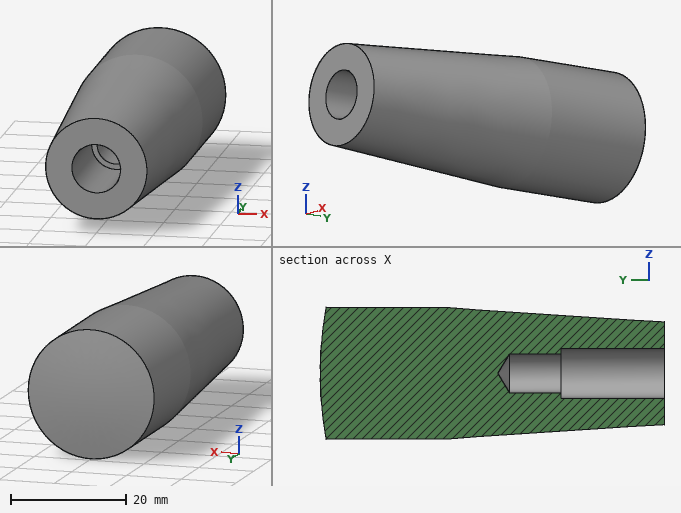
import cadquery as cq
import math

length = 59.9
grip_diameter = 23.0
small_end_diameter = 17.95
dome_height = 1.0
taper_length = 37.9

bore_diameter = 8.6
bore_depth = 17.95
pilot_diameter = 6.7
pilot_depth = 26.95
drill_tip_angle = 118.0

grip_radius = grip_diameter / 2
front_y = -length / 2
back_y = length / 2
taper_end_y = front_y + taper_length
dome_base_y = back_y - dome_height


def handle_body():
    """Tapered grip, straight shank and shallow domed end as one revolved profile."""
    dome_radius = (grip_radius**2 + dome_height**2) / (2 * dome_height)
    dome_mid_x = grip_radius / 2
    dome_mid_y = back_y - dome_radius + math.sqrt(dome_radius**2 - dome_mid_x**2)
    return (
        cq.Workplane("XY")
        .moveTo(0, front_y)
        .lineTo(small_end_diameter / 2, front_y)
        .lineTo(grip_radius, taper_end_y)
        .lineTo(grip_radius, dome_base_y)
        .threePointArc((dome_mid_x, dome_mid_y), (0, back_y))
        .close()
        .revolve(360, (0, 0), (0, 1))
    )


def stepped_bore():
    """Wide bore, narrower pilot hole and conical drill tip."""
    bore_radius = bore_diameter / 2
    pilot_radius = pilot_diameter / 2
    tip_length = pilot_radius / math.tan(math.radians(drill_tip_angle / 2))
    bore_end_y = front_y + bore_depth
    pilot_end_y = front_y + pilot_depth
    return (
        cq.Workplane("XY")
        .moveTo(0, front_y)
        .lineTo(bore_radius, front_y)
        .lineTo(bore_radius, bore_end_y)
        .lineTo(pilot_radius, bore_end_y)
        .lineTo(pilot_radius, pilot_end_y)
        .lineTo(0, pilot_end_y + tip_length)
        .close()
        .revolve(360, (0, 0), (0, 1))
    )


result = handle_body().cut(stepped_bore())